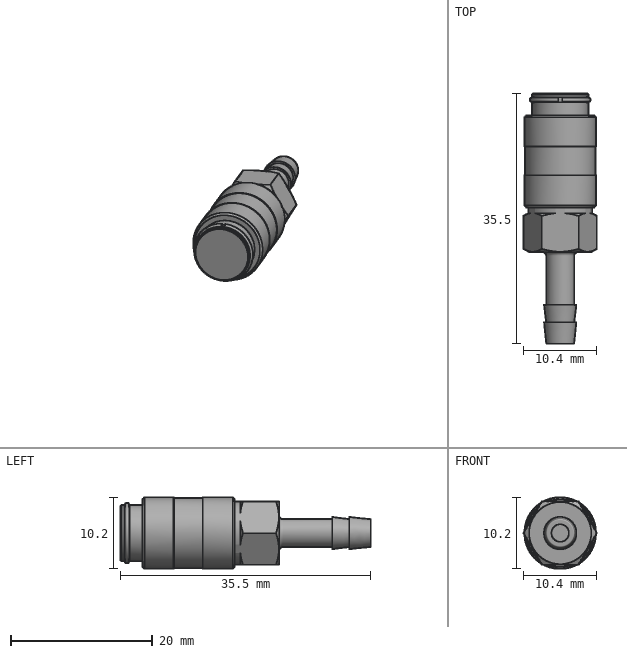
import cadquery as cq
import math

TIP_BARB_END = 3.1
STEM_BARB_END = 5.5
HEX_FRONT = 13.0
HEX_BACK = 18.5
SLEEVE_FRONT = 19.3
WAIST_FRONT = 23.85
WAIST_BACK = 27.9
SLEEVE_BACK = 32.38
LENGTH = 35.5

STEM_RADIUS = 4.0 / 2
BARB_RADIUS = 2.3
TIP_ROUNDING = 0.18
ROOT_FILLET = 0.5
BORE_RADIUS = 1.25
BORE_DEPTH = HEX_FRONT

HEX_ACROSS_FLATS = 9.0
HEX_FACE_RADIUS = 4.4
COLLAR_RADIUS = 9.12 / 2
HEX_CHAMFER_ANGLE = 30.0
HEX_CORNER_RADIUS = HEX_ACROSS_FLATS / math.sqrt(3)

SLEEVE_RADIUS = 10.2 / 2
WAIST_RADIUS = 5.0
SLEEVE_CHAMFER = 0.3
WAIST_BEVEL = SLEEVE_RADIUS - WAIST_RADIUS

NECK_RADIUS = 4.0
NECK_CHAMFER = 0.18
WIRE_RADIUS = 0.3
RING_RADIUS = NECK_RADIUS
RING_STATION = 34.58
RING_GAP = 0.55
GROOVE_WIDTH = 0.75
GROOVE_RADIUS = RING_RADIUS - WIRE_RADIUS


def revolve_about_y(profile):
    """Turn a closed (radius, Y) profile around the Y axis."""
    return profile.close().revolve(360, (0, 0, 0), (0, 1, 0))


def cylinder(radius, start, end):
    """Cylinder on the Y axis between two stations."""
    profile = cq.Workplane("XY").moveTo(0, start).lineTo(radius, start).lineTo(radius, end).lineTo(0, end)
    return revolve_about_y(profile)


def make_stem():
    """Hose stem with two barbs, a rounded tip and a filleted root."""
    arc_mid = ROOT_FILLET * (1 - math.sqrt(0.5))
    rounding_mid = TIP_ROUNDING * (1 - math.sqrt(0.5))
    profile = (
        cq.Workplane("XY")
        .lineTo(STEM_RADIUS - TIP_ROUNDING, 0)
        .threePointArc((STEM_RADIUS - rounding_mid, rounding_mid), (STEM_RADIUS, TIP_ROUNDING))
        .lineTo(BARB_RADIUS, TIP_BARB_END)
        .lineTo(STEM_RADIUS, TIP_BARB_END)
        .lineTo(BARB_RADIUS, STEM_BARB_END)
        .lineTo(STEM_RADIUS, STEM_BARB_END)
        .lineTo(STEM_RADIUS, HEX_FRONT - ROOT_FILLET)
        .threePointArc((STEM_RADIUS + arc_mid, HEX_FRONT - arc_mid), (STEM_RADIUS + ROOT_FILLET, HEX_FRONT))
        .lineTo(0, HEX_FRONT)
    )
    return revolve_about_y(profile)


def make_hexagon():
    """Hexagon with conical corner chamfers and a collar trimmed by the same flats."""
    slope = math.tan(math.radians(HEX_CHAMFER_ANGLE))
    front_chamfer = (HEX_CORNER_RADIUS - HEX_FACE_RADIUS) * slope
    back_chamfer = (HEX_CORNER_RADIUS - COLLAR_RADIUS) * slope
    envelope = revolve_about_y(
        cq.Workplane("XY")
        .moveTo(0, HEX_FRONT)
        .lineTo(HEX_FACE_RADIUS, HEX_FRONT)
        .lineTo(HEX_CORNER_RADIUS, HEX_FRONT + front_chamfer)
        .lineTo(HEX_CORNER_RADIUS, HEX_BACK - back_chamfer)
        .lineTo(COLLAR_RADIUS, HEX_BACK)
        .lineTo(COLLAR_RADIUS, SLEEVE_FRONT)
        .lineTo(0, SLEEVE_FRONT)
    )
    prism = (
        cq.Workplane("XZ", origin=(0, HEX_FRONT, 0))
        .polygon(6, 2 * HEX_CORNER_RADIUS)
        .extrude(HEX_FRONT - SLEEVE_FRONT)
    )
    return prism.intersect(envelope)


def make_sleeve_and_neck():
    """Chamfered sleeve with a narrow waist, followed by the rear neck."""
    profile = (
        cq.Workplane("XY")
        .moveTo(0, SLEEVE_FRONT)
        .lineTo(SLEEVE_RADIUS - SLEEVE_CHAMFER, SLEEVE_FRONT)
        .lineTo(SLEEVE_RADIUS, SLEEVE_FRONT + SLEEVE_CHAMFER)
        .lineTo(SLEEVE_RADIUS, WAIST_FRONT)
        .lineTo(WAIST_RADIUS, WAIST_FRONT)
        .lineTo(WAIST_RADIUS, WAIST_BACK)
        .lineTo(SLEEVE_RADIUS, WAIST_BACK + WAIST_BEVEL)
        .lineTo(SLEEVE_RADIUS, SLEEVE_BACK - SLEEVE_CHAMFER)
        .lineTo(SLEEVE_RADIUS - SLEEVE_CHAMFER, SLEEVE_BACK)
        .lineTo(NECK_RADIUS, SLEEVE_BACK)
        .lineTo(NECK_RADIUS, LENGTH - NECK_CHAMFER)
        .lineTo(NECK_RADIUS - NECK_CHAMFER, LENGTH)
        .lineTo(0, LENGTH)
    )
    return revolve_about_y(profile)


def make_ring_groove():
    """Square groove around the neck; its floor touches the inside of the snap ring."""
    start = RING_STATION - GROOVE_WIDTH / 2
    end = RING_STATION + GROOVE_WIDTH / 2
    return cylinder(NECK_RADIUS, start, end).cut(cylinder(GROOVE_RADIUS, start, end))


def make_coupling():
    """Coupling body with its blind hose bore and snap ring groove."""
    body = make_stem().union(make_hexagon()).union(make_sleeve_and_neck())
    return body.cut(cylinder(BORE_RADIUS, 0, BORE_DEPTH)).cut(make_ring_groove())


def make_snap_ring():
    """Round wire ring, open at the top."""
    wire_ring = (
        cq.Workplane("XY")
        .center(RING_RADIUS, RING_STATION)
        .circle(WIRE_RADIUS)
        .revolve(360, (-RING_RADIUS, 0, 0), (-RING_RADIUS, 1, 0))
    )
    gap = cq.Workplane("XY").box(RING_GAP, GROOVE_WIDTH, 4 * WIRE_RADIUS)
    return wire_ring.cut(gap.translate((0, RING_STATION, RING_RADIUS)))


coupling = make_coupling()
snap_ring = make_snap_ring()

result = cq.Compound.makeCompound([coupling.val(), snap_ring.val()])